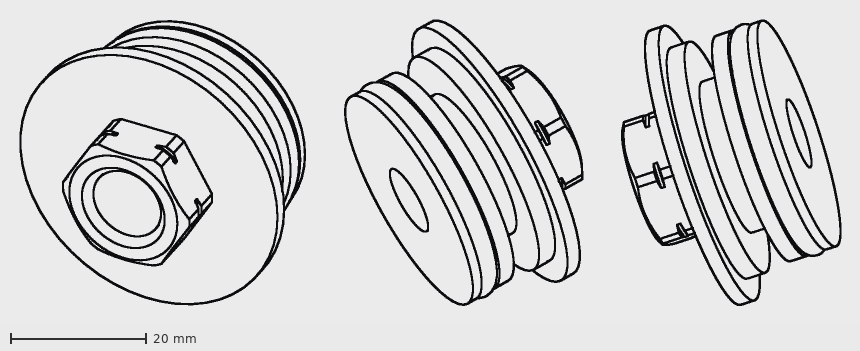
import cadquery as cq
import math

flange_radius = 21.4
flange_thickness = 2.2
step_radius = 18.0
step_length = 2.82
neck_radius = 11.75
neck_length = 4.15
land_radius = 17.6
front_land_length = 2.53
rear_land_length = 1.55
ring_radius = 17.98
ring_section_diameter = 3.12

hex_length = 8.25
hex_across_flats = 18.9
hex_corner_radius = 10.55
hex_face_radius = 9.0
hex_chamfer_angle = 30.0
hex_sides = 6

notch_from_end = 4.35
notch_depth = 0.5
notch_mouth_width = 0.95
notch_floor_width = 0.55

countersink_diameter = 13.8
bore_front_diameter = 11.25
bore_rear_diameter = 10.57

hex_end = -hex_length
step_start = flange_thickness
neck_start = step_start + step_length
land_start = neck_start + neck_length
ring_start = land_start + front_land_length
ring_end = ring_start + ring_section_diameter
rear_face = ring_end + rear_land_length


def revolve_about_y(profile):
    """Close an XY half-profile and turn it fully about the Y axis."""
    return profile.close().revolve(360, (0, 0, 0), (0, 1, 0))


def make_body():
    """Flange, step, neck and lands, with the ring as a half-round bead."""
    ring_centre_radius = ring_radius - ring_section_diameter / 2
    ring_middle = (ring_start + ring_end) / 2
    profile = (
        cq.Workplane("XY")
        .moveTo(0, 0)
        .lineTo(flange_radius, 0)
        .lineTo(flange_radius, step_start)
        .lineTo(step_radius, step_start)
        .lineTo(step_radius, neck_start)
        .lineTo(neck_radius, neck_start)
        .lineTo(neck_radius, land_start)
        .lineTo(land_radius, land_start)
        .lineTo(land_radius, ring_start)
        .lineTo(ring_centre_radius, ring_start)
        .threePointArc((ring_radius, ring_middle), (ring_centre_radius, ring_end))
        .lineTo(land_radius, ring_end)
        .lineTo(land_radius, rear_face)
        .lineTo(0, rear_face)
    )
    return revolve_about_y(profile)


def make_hexagon():
    """Hexagon with corners on X, trimmed by a notched and chamfered turned blank."""
    across_corners = hex_across_flats / math.cos(math.pi / hex_sides)
    prism = cq.Workplane("XZ").polygon(hex_sides, across_corners).extrude(hex_length)
    chamfer_length = (hex_corner_radius - hex_face_radius) * math.tan(math.radians(hex_chamfer_angle))
    notch_centre = hex_end + notch_from_end
    notch_radius = hex_corner_radius - notch_depth
    blank = (
        cq.Workplane("XY")
        .moveTo(0, hex_end)
        .lineTo(hex_face_radius, hex_end)
        .lineTo(hex_corner_radius, hex_end + chamfer_length)
        .lineTo(hex_corner_radius, notch_centre - notch_mouth_width / 2)
        .lineTo(notch_radius, notch_centre - notch_floor_width / 2)
        .lineTo(notch_radius, notch_centre + notch_floor_width / 2)
        .lineTo(hex_corner_radius, notch_centre + notch_mouth_width / 2)
        .lineTo(hex_corner_radius, 0)
        .lineTo(0, 0)
    )
    return prism.intersect(revolve_about_y(blank))


def make_bore():
    """Slightly tapered through bore with a 45 degree countersink in the hexagon end."""
    countersink_depth = (countersink_diameter - bore_front_diameter) / 2
    profile = (
        cq.Workplane("XY")
        .moveTo(0, hex_end)
        .lineTo(countersink_diameter / 2, hex_end)
        .lineTo(bore_front_diameter / 2, hex_end + countersink_depth)
        .lineTo(bore_rear_diameter / 2, rear_face)
        .lineTo(0, rear_face)
    )
    return revolve_about_y(profile)


result = make_body().union(make_hexagon()).cut(make_bore())